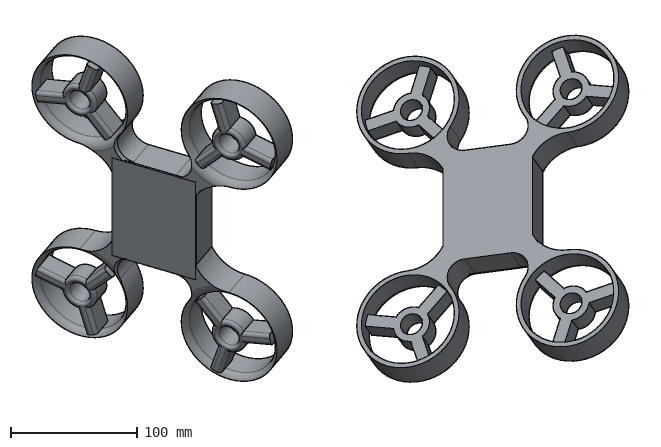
import cadquery as cq
import math

overall_width = 217.3
overall_height = 273.0
duct_outer_diameter = 85.0
duct_inner_diameter = 77.0
lip_radius = 8.2

back_y = 15.0
frame_front_y = -14.2
mount_front_y = -15.0
mount_depth = 20.2

box_width = 74.2
box_height = 95.5
lid_thickness = 1.6

flank_radius = 32.8
neck_tangent_x = 19.0
bevel_width = 2.0
bevel_depth = 2.7

hub_outer_radius = 15.0
hub_bore_radius = 9.0
hub_outer_fillet = 3.0
hub_bore_fillet = 2.7
spoke_count = 3
spoke_width = 10.0
spoke_fillet = 3.0
first_spoke_angle = -47.2

duct_outer_radius = duct_outer_diameter / 2
duct_inner_radius = duct_inner_diameter / 2
duct_x = overall_width / 2 - duct_outer_radius
duct_z = overall_height / 2 - duct_outer_radius
half_width = box_width / 2
half_height = box_height / 2
frame_depth = back_y - frame_front_y
neck_dx = duct_x - neck_tangent_x
neck_dz = duct_z - half_height
neck_radius = (neck_dx**2 + neck_dz**2 - duct_outer_radius**2) / (2 * (neck_dz + duct_outer_radius))
neck_x = -neck_tangent_x
neck_z = half_height + neck_radius
flank_z = duct_z - duct_outer_radius - flank_radius


def cylinder(x, z, radius, front, depth):
    """Cylinder along Y that runs from the level `front` towards the back."""
    return cq.Workplane("XZ", origin=(x, front, z)).circle(radius).extrude(-depth)


def rounded_bore(radius, mouth_fillet, front, depth):
    """Tool for a bore along Y whose front edge is rounded by `mouth_fillet`."""
    mouth_radius = radius + mouth_fillet
    fillet_end = front + mouth_fillet
    diagonal = mouth_fillet * math.sqrt(0.5)
    profile = (
        cq.Workplane("XY")
        .moveTo(0, front)
        .lineTo(mouth_radius, front)
        .threePointArc((mouth_radius - diagonal, fillet_end - diagonal), (radius, fillet_end))
        .lineTo(radius, front + depth)
        .lineTo(0, front + depth)
        .close()
    )
    return profile.revolve(360, (0, 0, 0), (0, 1, 0))


def arm():
    """Arm of the upper left duct, hollowed by the flank arc and the neck arc."""
    corners = [
        (-duct_x, duct_z),
        (-duct_x, flank_z),
        (-half_width, flank_z),
        (neck_x, 0),
        (neck_x, neck_z),
    ]
    block = cq.Workplane("XZ", origin=(0, frame_front_y, 0)).polyline(corners).close().extrude(-frame_depth)
    flank = cylinder(-duct_x, flank_z, flank_radius, frame_front_y, frame_depth)
    neck = cylinder(neck_x, neck_z, neck_radius, frame_front_y, frame_depth)
    return block.cut(flank).cut(neck)


def neck_bevel():
    """Cone that bevels the front edge of the upper left neck."""
    towards_back = cq.Vector(0, 1, 0)
    base = cq.Vector(neck_x, frame_front_y, neck_z)
    cone = cq.Solid.makeCone(neck_radius + bevel_width, neck_radius, bevel_depth, pnt=base, dir=towards_back)
    return cq.Workplane(cone)


def duct_and_arm(has_bevel):
    """Upper left duct with its arm and its rounded opening."""
    body = arm().union(cylinder(-duct_x, duct_z, duct_outer_radius, frame_front_y, frame_depth))
    if has_bevel:
        body = body.cut(neck_bevel())
    opening = rounded_bore(duct_inner_radius, lip_radius, frame_front_y, frame_depth)
    return body.cut(opening.translate((-duct_x, 0, duct_z)))


def make_lid():
    """Flat plate set flush into the front of the box."""
    plate = cq.Workplane("XY").box(box_width, lid_thickness, box_height)
    return plate.translate((0, frame_front_y + lid_thickness / 2, 0))


def make_frame():
    """Box, arms and ducts in one piece, recessed for the lid; only the left necks are bevelled."""
    body = cq.Workplane("XY").box(box_width, frame_depth, box_height)
    body = body.translate((0, frame_front_y + frame_depth / 2, 0))
    upper_left = duct_and_arm(has_bevel=True)
    upper_right = duct_and_arm(has_bevel=False).mirror("YZ")
    for upper in (upper_left, upper_right):
        body = body.union(upper).union(upper.mirror("XY"))
    return body.cut(make_lid())


def make_spoke(angle):
    """Radial bar with rounded front edges, turned about Y; it starts at the hub axis."""
    bar = cq.Workplane("XY").box(duct_outer_radius, mount_depth, spoke_width, centered=(False, False, True))
    bar = bar.faces("<Y").edges("|X").fillet(spoke_fillet)
    return bar.translate((0, mount_front_y, 0)).rotate((0, 0, 0), (0, 1, 0), -angle)


def make_mount():
    """Motor mount of the upper left duct: a hub whose spokes end at the bore of the duct."""
    body = cylinder(0, 0, hub_outer_radius, mount_front_y, mount_depth)
    body = body.faces("<Y").edges().fillet(hub_outer_fillet)
    for i in range(spoke_count):
        body = body.union(make_spoke(first_spoke_angle + i * 360 / spoke_count))
    body = body.intersect(cylinder(0, 0, duct_inner_radius, mount_front_y, mount_depth))
    body = body.cut(rounded_bore(hub_bore_radius, hub_bore_fillet, mount_front_y, mount_depth))
    return body.translate((-duct_x, 0, duct_z))


frame = make_frame()
lid = make_lid()

mounts = []
for upper_mount in (make_mount(), make_mount().mirror("YZ")):
    mounts.append(upper_mount.solids().val())
    mounts.append(upper_mount.mirror("XY").solids().val())

result = cq.Compound.makeCompound([frame.solids().val(), lid.solids().val(), *mounts])